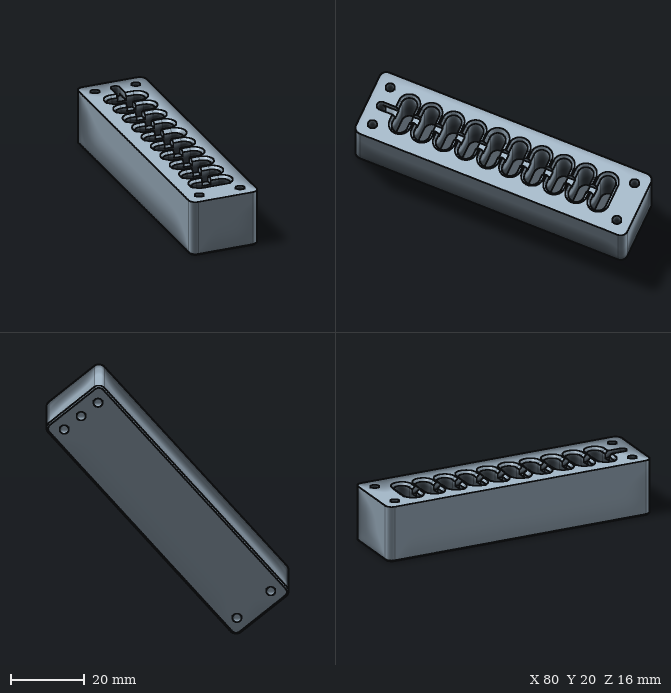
import cadquery as cq

LENGTH = 80.0
WIDTH = 20.0
HEIGHT = 16.0
CORNER_RADIUS = 2.0
BOTTOM_CHAMFER = 0.5

HOLE_DIAMETER = 2.5
HOLE_EDGE_DISTANCE = 4.0
HOLE_X = LENGTH / 2 - HOLE_EDGE_DISTANCE
HOLE_Y = WIDTH / 2 - HOLE_EDGE_DISTANCE

POCKET_COUNT = 10
POCKET_ROW_SPAN = 58.5
POCKET_PITCH = POCKET_ROW_SPAN / (POCKET_COUNT - 1)
POCKET_WIDTH = 4.4
POCKET_STRAIGHT = 6.6
POCKET_DEPTH = 12.0
POCKET_Y = 0.22
RIM_CHAMFER = 0.8

WIDE_RIM_INDEX = 4
WIDE_RIM_CHAMFER = 1.0

CHANNEL_WIDTH = HOLE_DIAMETER
CHANNEL_DEPTH = 2.0

POCKET_LENGTH = POCKET_STRAIGHT + POCKET_WIDTH
FIRST_POCKET_X = -POCKET_ROW_SPAN / 2
LAST_POCKET_X = -FIRST_POCKET_X


def make_block():
    """Rounded block with its top face at Z = HEIGHT."""
    block = cq.Workplane("XY").box(LENGTH, WIDTH, HEIGHT, centered=(True, True, False))
    block = block.edges("|Z").fillet(CORNER_RADIUS)
    return block.faces("<Z").edges().chamfer(BOTTOM_CHAMFER)


def pocket_cutter(x):
    """Round-ended pocket that runs along Y."""
    return (
        cq.Workplane("XY", origin=(x, POCKET_Y, HEIGHT))
        .slot2D(POCKET_LENGTH, POCKET_WIDTH, 90)
        .extrude(-POCKET_DEPTH)
    )


def rim_cutter(x, chamfer):
    """45 degree flare around the mouth of a pocket."""
    return (
        cq.Workplane("XY", origin=(x, POCKET_Y, HEIGHT))
        .slot2D(POCKET_LENGTH + 2 * chamfer, POCKET_WIDTH + 2 * chamfer, 90)
        .extrude(-chamfer, taper=45)
    )


def wide_rim_cutter(x):
    """Larger flare, kept only on the +Y side of the channel."""
    plus_y_side = cq.Workplane("XY", origin=(x, 0, 0)).box(
        2 * POCKET_PITCH, WIDTH, HEIGHT, centered=(True, False, False)
    )
    return rim_cutter(x, WIDE_RIM_CHAMFER).intersect(plus_y_side)


def channel_cutter():
    """Shallow channel from the inlet hole to the last pocket."""
    return (
        cq.Workplane("XY", origin=(-HOLE_X, 0, HEIGHT))
        .rect(LAST_POCKET_X + HOLE_X, CHANNEL_WIDTH, centered=(False, True))
        .extrude(-CHANNEL_DEPTH)
    )


def hole_cutter():
    """Four corner holes and the inlet hole at the -X end of the channel."""
    corners = [(sx * HOLE_X, sy * HOLE_Y) for sx in (-1, 1) for sy in (-1, 1)]
    inlet = (-HOLE_X, 0)
    return cq.Workplane("XY").pushPoints(corners + [inlet]).circle(HOLE_DIAMETER / 2).extrude(HEIGHT)


result = make_block().cut(hole_cutter()).cut(channel_cutter())
for index in range(POCKET_COUNT):
    pocket_x = FIRST_POCKET_X + index * POCKET_PITCH
    result = result.cut(pocket_cutter(pocket_x)).cut(rim_cutter(pocket_x, RIM_CHAMFER))
    if index == WIDE_RIM_INDEX:
        result = result.cut(wide_rim_cutter(pocket_x))